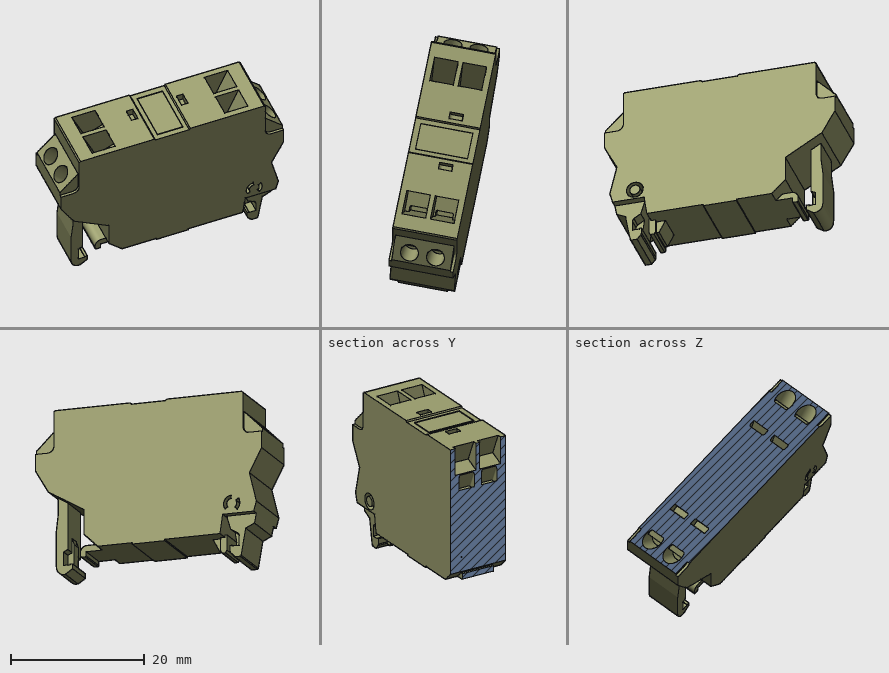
import cadquery as cq
import math

width = 9.8
length = 36.0
height = 25.3
half_width = width / 2
half_length = length / 2

top_half_length = 15.05
top_edge_chamfer = 0.2
base_z = 3.5
end_face_bottom_z = 16.2
heel_y = -10.25
heel_z = 5.55
heel_chamfer_y = -8.15
spring_end_z = 6.45
base_pad_half_length = 2.6
base_pad_drop = 0.2

slope_top_z = 22.25
slope_bottom_z = 19.35
side_notch_width = 0.45
side_notch_floor_z = 18.8
side_notch_radius = 1.0
pole_offset = 1.98
wire_hole_diameter = 2.7
wire_hole_depth = 2.7
wire_hole_full_depth = 4.32
wire_ledge_offset = 0.1
wire_hole_y = 16.8

pocket_inner_y = 8.85
pocket_outer_y = 12.6
pocket_near_x = 0.35
pocket_far_x = 3.95
pocket_tilt = math.radians(24)
pocket_depth = 4.82
blade_slot_width = 2.65
blade_slot_thickness = 0.97
blade_slot_depth = 3.25
blade_slot_radius = 0.25

field_half_length = 2.9
field_depth = 0.2
field_wall_run = 0.18
label_size_x = 7.92
label_size_y = 4.1
label_y = 0.05
label_depth = 0.1
latch_slot_near_y = 3.53
latch_slot_far_y = 4.57
latch_slot_width = 2.0
latch_slot_depth = 1.08
latch_slot_radius = 0.5

pivot_y = 13.25
pivot_z = 8.0
pivot_outer_radius = 1.3
pivot_pin_radius = 0.8
pivot_groove_depth = half_width
pivot_openings = ((-35, 85), (145, 230))

spring_foot_half_width = 3.75
spring_foot_rib_half_width = 1.8
fixed_foot_half_width = 2.77
fixed_foot_rib_half_width = 0.9
hook_ledge_z = 1.85
hook_ledge_groove_z = 1.73
rail_lip_half_width = fixed_foot_half_width
rail_stop_half_width = fixed_foot_half_width
rail_brace_half_width = 2.15


def extrude_x(outline, x_min, x_max):
    """Extrude an outline drawn in Y and Z from x_min to x_max."""
    return outline.close().extrude(x_max - x_min).translate((x_min, 0, 0))


def prism(points, x_min, x_max):
    return extrude_x(cq.Workplane("YZ").polyline(points), x_min, x_max)


def mirrored_in_y(solid):
    return solid.mirror("XZ")


def box_between(x_min, x_max, y_min, y_max, z_min, z_max):
    size = (x_max - x_min, y_max - y_min, z_max - z_min)
    return cq.Workplane("XY").box(*size, centered=False).translate((x_min, y_min, z_min))


def make_housing():
    outline = [
        (top_half_length - top_edge_chamfer, height),
        (top_half_length, height - top_edge_chamfer),
        (top_half_length, slope_top_z),
        (half_length, slope_bottom_z),
        (half_length, end_face_bottom_z),
        (16.05, 12.5),
        (17.17, 8.0),
        (16.75, spring_end_z),
        (11.8, spring_end_z),
        (11.38, base_z),
        (heel_chamfer_y, base_z),
        (heel_y, heel_z),
        (heel_y, 9.45),
        (-15.95, 12.75),
        (-half_length, end_face_bottom_z),
        (-half_length, slope_bottom_z),
        (-top_half_length, slope_top_z),
        (-top_half_length, height - top_edge_chamfer),
        (-top_half_length + top_edge_chamfer, height),
    ]
    pad = box_between(-half_width, half_width, -base_pad_half_length, base_pad_half_length,
                      base_z - base_pad_drop, base_z)
    return prism(outline, -half_width, half_width).union(pad)


def make_side_notch(x_min):
    """Corner cut beside a sloped face, with a rounded inner corner."""
    arc_shift = side_notch_radius * (1 - math.sqrt(0.5))
    outline = (
        cq.Workplane("YZ")
        .moveTo(top_half_length, slope_top_z)
        .lineTo(top_half_length, side_notch_floor_z + side_notch_radius)
        .threePointArc(
            (top_half_length + arc_shift, side_notch_floor_z + arc_shift),
            (top_half_length + side_notch_radius, side_notch_floor_z),
        )
        .lineTo(half_length, side_notch_floor_z)
        .lineTo(half_length, slope_top_z)
    )
    return extrude_x(outline, x_min, x_min + side_notch_width)


def make_wire_hole(x):
    """Round hole square to the sloped end face; its lower part runs on past a ledge."""
    run = half_length - top_half_length
    drop = slope_top_z - slope_bottom_z
    hole_z = slope_top_z - (wire_hole_y - top_half_length) * drop / run
    face = cq.Plane(origin=(x, wire_hole_y, hole_z), xDir=(1, 0, 0), normal=(0, drop, run))
    entry = cq.Workplane(face).circle(wire_hole_diameter / 2).extrude(-wire_hole_depth)
    lower_part = (
        cq.Workplane(face)
        .center(0, wire_ledge_offset + wire_hole_diameter / 2)
        .rect(wire_hole_diameter, wire_hole_diameter)
        .extrude(-wire_hole_full_depth)
    )
    full_hole = cq.Workplane(face).circle(wire_hole_diameter / 2).extrude(-wire_hole_full_depth)
    return entry.union(full_hole.intersect(lower_part))


def make_pocket(side):
    """Tilted pocket with parallel end walls, a square floor and a blade slot by the outer wall."""
    taper = math.tan(pocket_tilt)
    floor_y = pocket_outer_y - pocket_depth * taper
    floor_z = height - pocket_depth
    floor_length = (pocket_outer_y - pocket_inner_y) * math.cos(pocket_tilt)
    pocket_outline = [
        (pocket_outer_y, height),
        (floor_y, floor_z),
        (floor_y - floor_length * math.cos(pocket_tilt), floor_z + floor_length * math.sin(pocket_tilt)),
        (pocket_inner_y, height),
    ]
    x_min, x_max = sorted((side * pocket_near_x, side * pocket_far_x))
    pocket = prism(pocket_outline, x_min, x_max)

    floor_plane = cq.Plane(
        origin=(side * pole_offset, floor_y, floor_z),
        xDir=(1, 0, 0),
        normal=(0, math.sin(pocket_tilt), math.cos(pocket_tilt)),
    )
    blade_slot = (
        cq.Workplane(floor_plane)
        .center(0, -blade_slot_thickness / 2)
        .rect(blade_slot_width, blade_slot_thickness)
        .extrude(-blade_slot_depth)
        .edges(cq.selectors.ParallelDirSelector(floor_plane.zDir))
        .edges("<Y")
        .fillet(blade_slot_radius)
    )
    return pocket.union(blade_slot)


def cut_both_ends(body, cutter):
    return body.cut(cutter).cut(mirrored_in_y(cutter))


def cut_label_field(body):
    floor_z = height - field_depth
    field = [
        (-field_half_length, height),
        (-field_half_length + field_wall_run, floor_z),
        (field_half_length - field_wall_run, floor_z),
        (field_half_length, height),
    ]
    label = (
        cq.Workplane("XY")
        .box(label_size_x, label_size_y, label_depth, centered=(True, True, False))
        .translate((0, label_y, floor_z - label_depth))
    )
    latch_slot = box_between(-latch_slot_width, 0, latch_slot_near_y, latch_slot_far_y,
                             height - latch_slot_depth, height)
    latch_slot = latch_slot.edges("|Y and >X and <Z").fillet(latch_slot_radius)
    body = body.cut(prism(field, -half_width, half_width)).cut(label)
    return cut_both_ends(body, latch_slot)


def make_ring(x_min, x_max):
    ring = cq.Workplane("YZ").circle(pivot_outer_radius).circle(pivot_pin_radius).extrude(x_max - x_min)
    return ring.translate((x_min, pivot_y, pivot_z))


def cut_pivot(body):
    """Ring groove around the pivot pin, open right through along two stretches."""
    body = body.cut(make_ring(-half_width, -half_width + pivot_groove_depth))
    reach = 2 * pivot_outer_radius
    for start, end in pivot_openings:
        sector = [(pivot_y, pivot_z)]
        for angle in (start, (start + end) / 2, end):
            turn = math.radians(angle)
            sector.append((pivot_y - reach * math.cos(turn), pivot_z + reach * math.sin(turn)))
        opening = make_ring(-half_width, half_width).intersect(prism(sector, -half_width, half_width))
        body = body.cut(opening)
    return body


def make_spring_foot():
    """Foot hanging below the pivot, with a hook facing inwards and a thinner rib above the hook."""
    hook_y = 12.55
    rib_y = 12.9
    rib_root_y = 14.2
    notch_y = 14.0
    notch_top_y = 12.67
    notch_top_z = 4.35
    outline = [
        (16.75, spring_end_z),
        (16.45, 4.95),
        (15.05, 4.3),
        (14.33, 0.15),
        (14.2, 0),
        (13.25, 0),
        (12.67, 0.7),
        (hook_y, 0.97),
        (hook_y, hook_ledge_z),
        (rib_y, hook_ledge_z),
        (rib_y, hook_ledge_groove_z),
        (notch_y, hook_ledge_groove_z),
        (notch_y, 3.3),
        (13.75, 3.7),
        (notch_top_y, notch_top_z),
        (12.02, spring_end_z),
    ]
    rib = [
        (rib_root_y, hook_ledge_groove_z),
        (rib_y, hook_ledge_groove_z),
        (rib_y, 3.0),
        (notch_top_y, notch_top_z),
        (rib_root_y, notch_top_z),
    ]
    foot = prism(outline, -spring_foot_half_width, spring_foot_half_width)
    return foot.union(prism(rib, -spring_foot_rib_half_width, spring_foot_rib_half_width))


def make_fixed_foot():
    """Straight foot rooted in the housing, hooked inwards like the spring foot."""
    root_z = 12.95
    hook_y = -12.85
    shank_y = -15.15
    rib_top_z = 6.37
    outer_y = -15.48
    tip_y = -14.33
    inner_y = -13.6
    notch_y = -14.3
    rib_y = -13.3
    outline = (
        cq.Workplane("YZ")
        .moveTo(shank_y, root_z)
        .lineTo(shank_y, 9.65)
        .lineTo(outer_y, 6.9)
        .lineTo(outer_y, 1.9)
        .lineTo(-15.4, 1.35)
        .threePointArc((-15.05, 0.65), (tip_y, 0.32))
        .lineTo(-14.0, 0.32)
        .lineTo(hook_y, 1.08)
        .lineTo(hook_y, hook_ledge_z)
        .lineTo(rib_y, hook_ledge_z)
        .lineTo(rib_y, hook_ledge_groove_z)
        .lineTo(notch_y, hook_ledge_groove_z)
        .lineTo(notch_y, 3.8)
        .lineTo(inner_y, 4.15)
        .lineTo(inner_y, root_z)
    )
    rib = [
        (notch_y, hook_ledge_groove_z),
        (rib_y, hook_ledge_groove_z),
        (rib_y, 5.4),
        (inner_y, rib_top_z),
        (notch_y, rib_top_z),
    ]
    foot = extrude_x(outline, -fixed_foot_half_width, fixed_foot_half_width)
    return foot.union(prism(rib, -fixed_foot_rib_half_width, fixed_foot_rib_half_width))


def make_rail_lip():
    """Curved lip that reaches out of the heel and turns down."""
    lip_top_z = 4.45
    lip_tip_z = 2.7
    bend_radius = 0.97
    tip_y = -11.6
    tip_inner_y = -10.7
    tip_bevel = 0.15
    bend_shift = bend_radius * (1 - math.sqrt(0.5))
    outline = (
        cq.Workplane("YZ")
        .moveTo(heel_chamfer_y, lip_top_z)
        .lineTo(tip_y + bend_radius, lip_top_z)
        .threePointArc((tip_y + bend_shift, lip_top_z - bend_shift), (tip_y, lip_top_z - bend_radius))
        .lineTo(tip_y, lip_tip_z + tip_bevel)
        .lineTo(tip_y + tip_bevel, lip_tip_z)
        .lineTo(tip_inner_y - tip_bevel, lip_tip_z)
        .lineTo(tip_inner_y, lip_tip_z + tip_bevel)
        .lineTo(tip_inner_y, base_z)
        .lineTo(heel_chamfer_y, base_z)
    )
    return extrude_x(outline, -rail_lip_half_width, rail_lip_half_width)


def make_rail_stop():
    """Blunt peg and its slanted brace, just inside the spring foot."""
    root_z = base_z + 0.35
    peg_outer_y = 11.7
    peg_inner_y = 10.7
    peg_tip_z = 1.08
    brace_tip_z = 1.62
    brace_end_y = 9.3
    peg = [
        (peg_outer_y, root_z),
        (peg_outer_y, 1.48),
        (11.5, peg_tip_z),
        (10.9, peg_tip_z),
        (peg_inner_y, 1.35),
        (peg_inner_y, root_z),
    ]
    brace = [
        (peg_inner_y, root_z),
        (peg_inner_y, brace_tip_z),
        (10.3, brace_tip_z),
        (brace_end_y, base_z),
        (brace_end_y, root_z),
    ]
    stop = prism(peg, -rail_stop_half_width, rail_stop_half_width)
    return stop.union(prism(brace, -rail_brace_half_width, rail_brace_half_width))


housing = make_housing()
for notch_x in (-half_width, half_width - side_notch_width):
    housing = cut_both_ends(housing, make_side_notch(notch_x))
for pole_side in (-1, 1):
    housing = cut_both_ends(housing, make_wire_hole(pole_side * pole_offset))
    housing = cut_both_ends(housing, make_pocket(pole_side))
housing = cut_label_field(housing)
housing = cut_pivot(housing)

result = (
    housing
    .union(make_spring_foot())
    .union(make_fixed_foot())
    .union(make_rail_lip())
    .union(make_rail_stop())
)